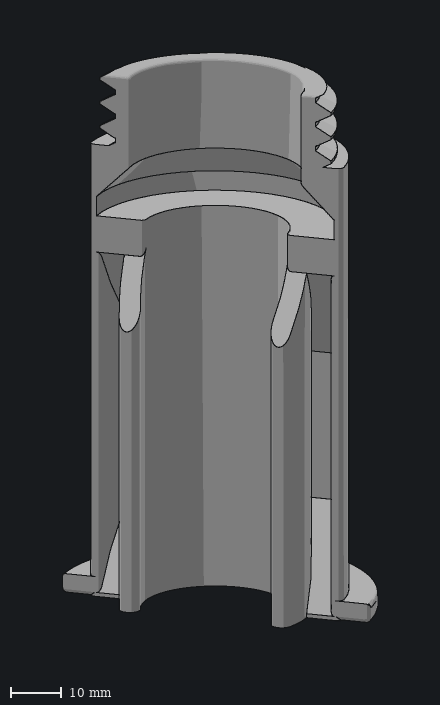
import cadquery as cq
import math

TOTAL_HEIGHT = 108.0
FLANGE_HEIGHT = 4.1
SHOULDER_Z = 93.1
CONE_TOP_Z = 89.3
CONE_BOTTOM_Z = 82.4
CHAMBER_FLOOR_Z = 78.4
POCKET_TOP_Z = 71.0

FLANGE_RADIUS = 32.0
BARREL_RADIUS = 26.2
CHAMBER_RADIUS = 24.6
POCKET_RADIUS = 23.8
NECK_BORE_RADIUS = 17.5
SLEEVE_OUTER_RADIUS = 18.9
SLEEVE_INNER_RADIUS = 14.7

SLEEVE_TIP_Y = -8.0
SLEEVE_BEVEL_DROP = 13.2
POCKET_BACK_Y = 12.3
POCKET_BOTTOM_Z = 0.9
POCKET_RAMP_RISE = 20.0

THREAD_ROOT_RADIUS = 20.7
THREAD_CREST_RADIUS = 24.0
THREAD_PITCH = 5.0
THREAD_CREST_WIDTH = 0.5
THREAD_BASE_WIDTH = 4.1
THREAD_FIRST_CREST_Z = 104.2
THREAD_TURNS = 5
TURNS_BELOW_FIRST_CREST = 3
THREAD_OVERLAP = 0.4

EDGE_RADIUS = 1.0
BARREL_EDGE_RADIUS = 1.3
POCKET_EDGE_RADIUS = 0.9
EDGE_SEARCH_REACH = 0.2


def cylinder(radius, bottom, top):
    """Cylinder on the Z axis, its seam turned to -Y, away from the cut plane's edges."""
    blank = cq.Workplane("XY").workplane(offset=bottom).circle(radius).extrude(top - bottom)
    return blank.rotate((0, 0, 0), (0, 0, 1), -90)


def back_half(shape):
    """Keep only the part of a shape with Y above zero."""
    size = 4 * TOTAL_HEIGHT
    return shape.intersect(cq.Workplane("XY").box(size, size, size, centered=(True, False, True)))


def round_cut_edges(shape, radius_at_edge, bottom, top, fillet):
    """Round the two vertical edges at the cut plane, X = +/- radius_at_edge."""
    for x in (-radius_at_edge, radius_at_edge):
        edge = cq.selectors.BoxSelector(
            (x - EDGE_SEARCH_REACH, -EDGE_SEARCH_REACH, bottom),
            (x + EDGE_SEARCH_REACH, EDGE_SEARCH_REACH, top),
        )
        shape = shape.edges("|Z").edges(edge).fillet(fillet)
    return shape


def make_thread():
    """Helical ridge that runs past both ends of the neck."""
    start_z = THREAD_FIRST_CREST_Z - TURNS_BELOW_FIRST_CREST * THREAD_PITCH
    helix = cq.Wire.makeHelix(THREAD_PITCH, THREAD_TURNS * THREAD_PITCH, THREAD_ROOT_RADIUS)
    flank_run = (THREAD_BASE_WIDTH - THREAD_CREST_WIDTH) / 2
    overlap_run = THREAD_OVERLAP * flank_run / (THREAD_CREST_RADIUS - THREAD_ROOT_RADIUS)
    half_base = THREAD_BASE_WIDTH / 2 + overlap_run
    half_crest = THREAD_CREST_WIDTH / 2
    inner = THREAD_ROOT_RADIUS - THREAD_OVERLAP
    ridge = (
        cq.Workplane("XZ")
        .polyline([
            (inner, -half_base),
            (THREAD_CREST_RADIUS, -half_crest),
            (THREAD_CREST_RADIUS, half_crest),
            (inner, half_base),
        ])
        .close()
        .sweep(cq.Workplane(obj=helix), isFrenet=True)
        .translate((0, 0, start_z))
    )
    return ridge


def make_neck_envelope():
    """Half cylinder around the neck, its top edge rounded along the cut plane."""
    envelope = back_half(cylinder(BARREL_RADIUS, SHOULDER_Z, TOTAL_HEIGHT))
    return envelope.faces("<Y").edges(">Z").fillet(EDGE_RADIUS)


def make_barrel():
    barrel = back_half(cylinder(BARREL_RADIUS, 0, SHOULDER_Z))
    barrel = barrel.edges("|Z").fillet(BARREL_EDGE_RADIUS)
    flange = back_half(cylinder(FLANGE_RADIUS, 0, FLANGE_HEIGHT))
    flange = flange.edges("not(|X and >Z)").fillet(EDGE_RADIUS)
    return barrel.union(flange)


def make_upper_cavity():
    """Chamber with a conical roof narrowing to the neck bore."""
    return (
        cq.Workplane("XZ")
        .polyline([
            (0, CHAMBER_FLOOR_Z),
            (CHAMBER_RADIUS, CHAMBER_FLOOR_Z),
            (CHAMBER_RADIUS, CONE_BOTTOM_Z),
            (NECK_BORE_RADIUS, CONE_TOP_Z),
            (NECK_BORE_RADIUS, TOTAL_HEIGHT),
            (0, TOTAL_HEIGHT),
        ])
        .close()
        .revolve(360, (0, 0), (0, 1))
        .rotate((0, 0, 0), (0, 0, 1), -90)
    )


def make_pocket():
    """Recess with sloping ends that clears the barrel wall; the sleeve divides it in two."""
    blank = (
        cq.Workplane("YZ")
        .polyline([
            (0, POCKET_BOTTOM_Z),
            (POCKET_BACK_Y, POCKET_BOTTOM_Z + POCKET_RAMP_RISE),
            (POCKET_BACK_Y, POCKET_TOP_Z - POCKET_RAMP_RISE),
            (0, POCKET_TOP_Z),
        ])
        .close()
        .extrude(POCKET_RADIUS * 2, both=True)
    )
    pocket = blank.intersect(cylinder(POCKET_RADIUS, 0, POCKET_TOP_Z))
    back_corners = cq.selectors.BoxSelector(
        (-POCKET_RADIUS, POCKET_BACK_Y - EDGE_RADIUS, 0),
        (POCKET_RADIUS, POCKET_BACK_Y + EDGE_RADIUS, POCKET_TOP_Z),
    )
    outer_corners = pocket.edges("|Z").edges(back_corners).edges("<X or >X")
    return outer_corners.fillet(EDGE_RADIUS)


def make_sleeve():
    """Sleeve before boring: its rounded tips are joined by a web inside the bore."""
    tip_radius = (SLEEVE_OUTER_RADIUS - SLEEVE_INNER_RADIUS) / 2
    mean_radius = SLEEVE_INNER_RADIUS + tip_radius
    tip_y = SLEEVE_TIP_Y + tip_radius
    tip_angle = math.asin(-tip_y / mean_radius)

    def polar(radius, angle):
        return (radius * math.cos(angle), -radius * math.sin(angle))

    tip_x = polar(mean_radius, tip_angle)[0]
    tip_end = (
        tip_x - tip_radius * math.sin(tip_angle),
        tip_y - tip_radius * math.cos(tip_angle),
    )
    outer_x, outer_y = polar(SLEEVE_OUTER_RADIUS, tip_angle)
    inner_x, inner_y = polar(SLEEVE_INNER_RADIUS, tip_angle)
    sleeve = (
        cq.Workplane("XY")
        .moveTo(outer_x, outer_y)
        .threePointArc((0, SLEEVE_OUTER_RADIUS), (-outer_x, outer_y))
        .threePointArc((-tip_end[0], tip_end[1]), (-inner_x, inner_y))
        .lineTo(inner_x, inner_y)
        .threePointArc(tip_end, (outer_x, outer_y))
        .close()
        .extrude(POCKET_TOP_Z)
    )
    bevel = (
        cq.Workplane("YZ")
        .polyline([
            (SLEEVE_OUTER_RADIUS, 0),
            (SLEEVE_TIP_Y, 0),
            (SLEEVE_TIP_Y, POCKET_TOP_Z - SLEEVE_BEVEL_DROP),
            (0, POCKET_TOP_Z),
            (SLEEVE_OUTER_RADIUS, POCKET_TOP_Z),
        ])
        .close()
        .extrude(SLEEVE_OUTER_RADIUS * 2, both=True)
    )
    return sleeve.intersect(bevel)


envelope = make_neck_envelope()
neck_core = envelope.intersect(cylinder(THREAD_ROOT_RADIUS, SHOULDER_Z, TOTAL_HEIGHT))
result = make_barrel().union(neck_core)
result = result.cut(make_pocket())
result = result.union(make_sleeve())
result = result.cut(cylinder(SLEEVE_INNER_RADIUS, 0, CHAMBER_FLOOR_Z))
result = result.cut(make_upper_cavity())

result = round_cut_edges(result, POCKET_RADIUS, 0, POCKET_TOP_Z, POCKET_EDGE_RADIUS)
result = round_cut_edges(result, SLEEVE_INNER_RADIUS, POCKET_TOP_Z, CHAMBER_FLOOR_Z, EDGE_RADIUS)

bore_edge_middle = (NECK_BORE_RADIUS, 0, (CONE_TOP_Z + TOTAL_HEIGHT) / 2)
result = result.edges(cq.selectors.NearestToPointSelector(bore_edge_middle)).fillet(EDGE_RADIUS)

result = result.union(make_thread().intersect(envelope))